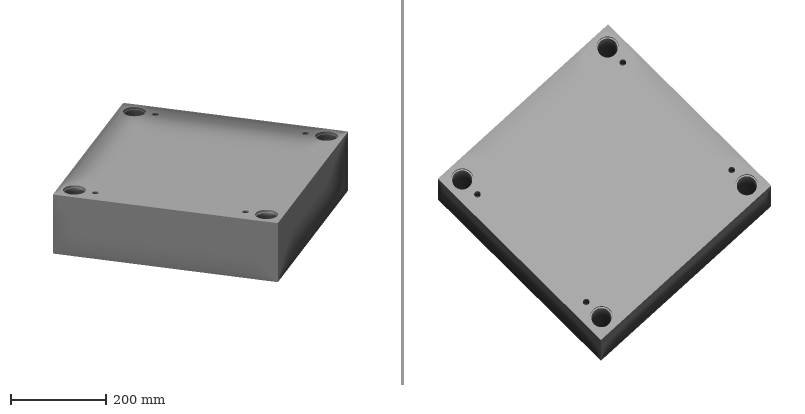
import cadquery as cq
import math

side = 495.5
height = 136.0

corner_inset = 36.0
corner_diameter = 42.0
mouth_diameter = 48.0
mouth_depth = 5.0

small_diameter = 14.0
small_depth = 29.5
drill_tip_angle = 118.0
small_spacing_x = 330.5

corner_spacing = side - 2 * corner_inset

block = cq.Workplane("XY").box(side, side, height, centered=(True, True, False))

with_corner_holes = (
    block.faces(">Z")
    .workplane()
    .rarray(corner_spacing, corner_spacing, 2, 2)
    .cboreHole(corner_diameter, mouth_diameter, mouth_depth)
)

small_radius = small_diameter / 2
tip_length = small_radius / math.tan(math.radians(drill_tip_angle / 2))
drilled_hole = (
    cq.Workplane("XZ")
    .moveTo(0, height)
    .lineTo(small_radius, height)
    .lineTo(small_radius, height - small_depth)
    .lineTo(0, height - small_depth - tip_length)
    .close()
    .revolve(360, (0, 0, 0), (0, 1, 0))
)

result = with_corner_holes
for x_sign in (-1, 1):
    for y_sign in (-1, 1):
        centre = (x_sign * small_spacing_x / 2, y_sign * corner_spacing / 2, 0)
        result = result.cut(drilled_hole.translate(centre))